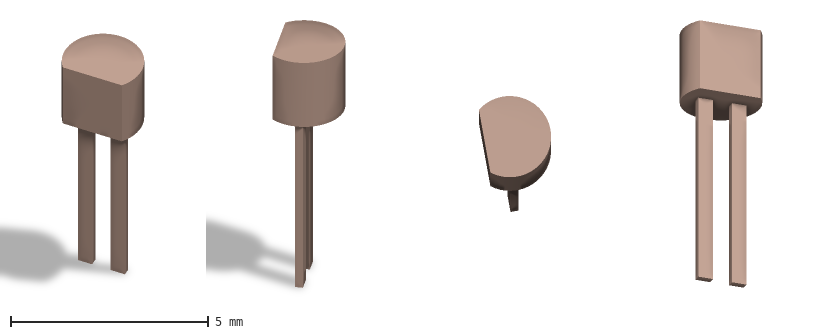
import cadquery as cq

total_height = 6.9
body_height = 1.9
body_diameter = 2.1
body_depth = 1.7

lead_width = 0.4
lead_thickness = 0.2
lead_spacing = 0.92

body_radius = body_diameter / 2
flat_offset = body_depth - body_radius
lead_length = total_height - body_height


def make_body():
    """Cylinder about Z, cut by a flat on its -Y side; its underside is at Z = 0."""
    cylinder = cq.Workplane("XY").circle(body_radius).extrude(body_height)
    flat_cut = (
        cq.Workplane("XY")
        .box(body_diameter, body_diameter, body_height, centered=(True, False, False))
        .translate((0, -flat_offset - body_diameter, 0))
    )
    return cylinder.cut(flat_cut)


def make_leads():
    """Two straight leads hanging from the underside, centred on the cylinder axis."""
    lead_centres = [(-lead_spacing / 2, 0), (lead_spacing / 2, 0)]
    return (
        cq.Workplane("XY")
        .pushPoints(lead_centres)
        .rect(lead_width, lead_thickness)
        .extrude(-lead_length)
    )


result = make_body().union(make_leads())